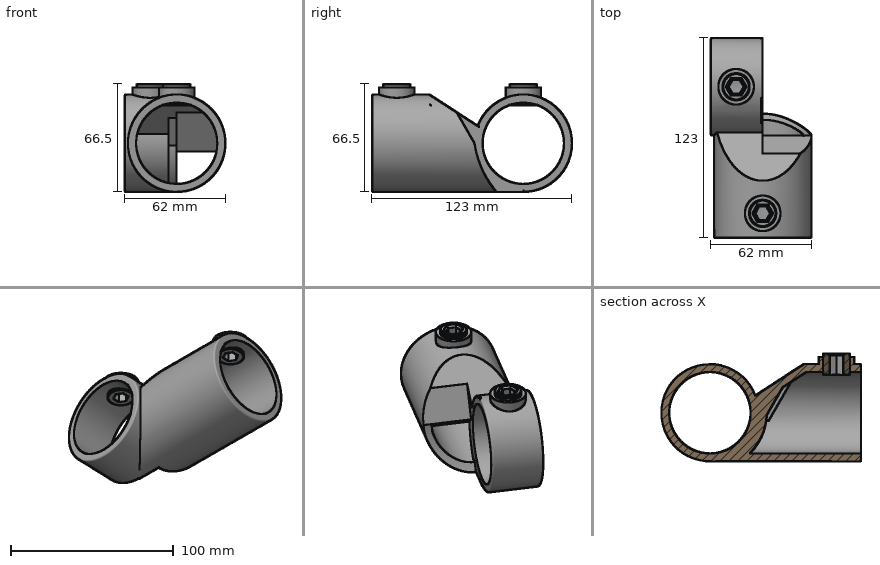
import cadquery as cq
import math

outer_radius = 30.0
wall = 5.0
bore_radius = outer_radius - wall
ring_width = 32.0
tube_length = 93.0
edge_round = 1.0

boss_radius = 11.0
boss_top = 34.5
ring_boss_x = -16.4
tube_boss_y = -77.9
screw_places = [(ring_boss_x, 0), (0, tube_boss_y)]
screw_radius = 8.4
screw_top = 36.5
screw_bottom = 23.4
screw_chamfer = 0.5
hex_flats = 8.1
hex_mouth_flats = 11.0

roof_start_y = -57.8
roof_slope = math.tan(math.radians(33))
plate_slope = math.tan(math.radians(60))
plate_thickness = 7.7
plate_foot_z = -5.2
mouth_end_y = -16.5
mouth_radius = 2 * outer_radius

CLEARANCE = 73.8


def roof_z(y, depth=0.0):
    """Height of the roof plane moved inward by depth."""
    drop = depth * math.hypot(1, roof_slope)
    return outer_radius - roof_slope * (y - roof_start_y) - drop


def plate_y(z, depth=0.0):
    """Y of the plate plane at height z, moved inward by depth."""
    shift = depth * math.hypot(1, plate_slope) / plate_slope
    return -outer_radius - z / plate_slope - shift


def roof_plate_corner(roof_depth, plate_depth):
    """(y, z) where the roof plane and the plate plane meet."""
    z_at_zero = roof_z(0, roof_depth)
    z = (z_at_zero - roof_slope * plate_y(0, plate_depth)) / (1 - roof_slope / plate_slope)
    return plate_y(z, plate_depth), z


def x_prism(profile, x_start, x_end):
    """Solid from a closed YZ profile between two X positions."""
    return profile.extrude(x_end - x_start).translate((x_start, 0, 0))


def x_cylinder(radius, x_start, x_end):
    return x_prism(cq.Workplane("YZ").circle(radius), x_start, x_end)


def y_cylinder(radius, y_start, y_end):
    return cq.Workplane("XZ", origin=(0, y_start, 0)).circle(radius).extrude(y_start - y_end)


def tube_blank():
    """Tube socket outside with the roof, the plate and the swivel mouth cut."""
    tube = y_cylinder(outer_radius, -tube_length, 0).faces("<Y").edges().fillet(edge_round)
    above_roof = (
        cq.Workplane("YZ")
        .moveTo(roof_start_y, outer_radius)
        .lineTo(CLEARANCE, roof_z(CLEARANCE))
        .lineTo(CLEARANCE, CLEARANCE)
        .lineTo(roof_start_y, CLEARANCE)
        .close()
    )
    ridge = roof_plate_corner(0, 0)
    beyond_plate = (
        cq.Workplane("YZ")
        .moveTo(*ridge)
        .lineTo(-outer_radius, 0)
        .radiusArc((mouth_end_y, -outer_radius), -mouth_radius)
        .lineTo(mouth_end_y, -CLEARANCE)
        .lineTo(CLEARANCE, -CLEARANCE)
        .lineTo(CLEARANCE, ridge[1])
        .close()
    )
    tube = tube.cut(x_prism(above_roof, -CLEARANCE, CLEARANCE))
    return tube.cut(x_prism(beyond_plate, 0, CLEARANCE))


def boss(x, y):
    return cq.Workplane("XY", origin=(x, y, bore_radius)).circle(boss_radius).extrude(boss_top - bore_radius)


def tube_cavity():
    """Bore of the tube socket, closed by the roof, the ring, the cheek and the plate."""
    bore = y_cylinder(bore_radius, -tube_length, 0)
    high_y = plate_y(0) - CLEARANCE
    under_roof = (
        cq.Workplane("YZ")
        .moveTo(-tube_length, -CLEARANCE)
        .lineTo(-tube_length, CLEARANCE)
        .lineTo(high_y, roof_z(high_y, wall))
        .lineTo(0, roof_z(0, wall))
        .lineTo(0, -CLEARANCE)
        .close()
    )
    cavity = bore.intersect(x_prism(under_roof, -CLEARANCE, CLEARANCE))

    cavity = cavity.cut(x_cylinder(outer_radius, -CLEARANCE, -wall))
    cavity = cavity.cut(x_cylinder(outer_radius + wall, -wall, 0))
    cheek_top = roof_plate_corner(0, wall)
    cheek = (
        cq.Workplane("YZ")
        .moveTo(*cheek_top)
        .lineTo(plate_y(0, wall), 0)
        .lineTo(plate_y(-wall, wall), -wall)
        .lineTo(0, -wall)
        .lineTo(0, cheek_top[1])
        .close()
    )
    cavity = cavity.cut(x_prism(cheek, -wall, 0))

    plate_top = roof_plate_corner(0, plate_thickness)
    plate = (
        cq.Workplane("YZ")
        .moveTo(*plate_top)
        .lineTo(plate_y(plate_foot_z, plate_thickness), plate_foot_z)
        .lineTo(-outer_radius, 0)
        .lineTo(0, 0)
        .lineTo(0, plate_top[1])
        .close()
    )
    return cavity.cut(x_prism(plate, 0, CLEARANCE))


def build_housing():
    ring = x_cylinder(outer_radius, -ring_width, 0).faces("<X or >X").edges().fillet(edge_round)
    body = tube_blank().union(ring)
    for x, y in screw_places:
        body = body.union(boss(x, y))
    body = body.cut(x_cylinder(bore_radius, -ring_width, 0))
    body = body.cut(tube_cavity())
    for x, y in screw_places:
        body = body.cut(set_screw_blank(x, y))
    return body


def set_screw_blank(x, y):
    """Screw without its socket; also the seat it fills in the housing."""
    blank = cq.Workplane("XY", origin=(x, y, screw_bottom)).circle(screw_radius).extrude(screw_top - screw_bottom)
    return blank.faces("<Z or >Z").chamfer(screw_chamfer)


def set_screw(x, y):
    across_corners = 2 / math.sqrt(3)
    mouth_depth = (hex_mouth_flats - hex_flats) / 2
    screw = set_screw_blank(x, y)
    screw = screw.faces(">Z").workplane(origin=(x, y, 0)).polygon(6, hex_flats * across_corners).cutThruAll()
    mouth = (
        cq.Workplane("XY", origin=(x, y, screw_top))
        .polygon(6, hex_mouth_flats * across_corners)
        .workplane(offset=-mouth_depth)
        .polygon(6, hex_flats * across_corners)
        .loft(combine=True)
    )
    return screw.cut(mouth)


housing = build_housing()
screws = [set_screw(x, y) for x, y in screw_places]

result = cq.Compound.makeCompound([housing.val(), *[screw.val() for screw in screws]])